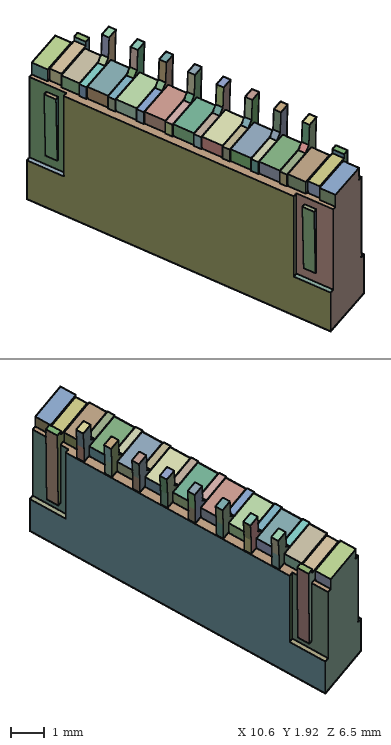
import cadquery as cq

length = 10.6
depth = 1.9
ledge_z = 5.0
housing_top = 5.5
front_step = 0.28
back_step = 0.29

recess_width = 1.28
recess_depth = 0.15
recess_bottom = 1.63

pin_count = 8
pin_row = 7.0
pin_width = 0.25
pin_slot_gap = 0.01
pin_front = 0.24
pin_bend_y = 1.29
pin_bend_z = 5.69
pin_top = 6.5
overall_depth = 1.92
tail_thickness = 0.39
tail_lean = 0.04

clip_x = 4.5
clip_width = 0.41
clip_slot_gap = 0.03
clip_front = 0.34
clip_leg_front = 1.72
clip_top = 5.67
clip_leg_bottom = 2.06
clip_leg_lean = 0.04

tab_top = 4.7
tab_front_top = 0.02
tab_front_bottom = 0.1

pin_pitch = pin_row / (pin_count - 1)
pin_positions = [i * pin_pitch - pin_row / 2 for i in range(pin_count)]
clip_positions = [-clip_x, clip_x]
upper_back = depth - back_step


def box_between(x_range, y_range, z_range):
    """Box spanning the given (low, high) ranges."""
    sizes = [high - low for low, high in (x_range, y_range, z_range)]
    corner = (x_range[0], y_range[0], z_range[0])
    return cq.Workplane("XY").box(*sizes, centered=False).translate(corner)


def plate(outline, width, x_centre):
    """Extrude a (Y, Z) outline along X, centred on x_centre."""
    return cq.Workplane("YZ", origin=(x_centre, 0, 0)).polyline(outline).close().extrude(width / 2, both=True)


def corner_recess(side, y_range):
    """Cutter for a corner recess; side is -1 for the left end and 1 for the right end."""
    inner = side * (length / 2 - recess_width)
    outer = side * length / 2
    return box_between(sorted((inner, outer)), y_range, (recess_bottom, ledge_z))


def slot(x_centre, width):
    """Cutter for a slot running through the upper block from front to back."""
    x_range = (x_centre - width / 2, x_centre + width / 2)
    return box_between(x_range, (front_step, upper_back), (ledge_z, housing_top))


def housing():
    half_length = length / 2
    body = box_between((-half_length, half_length), (0, depth), (0, ledge_z))
    upper = box_between((-half_length, half_length), (front_step, upper_back), (ledge_z, housing_top))
    body = body.union(upper)
    for side in (-1, 1):
        body = body.cut(corner_recess(side, (0, recess_depth)))
        body = body.cut(corner_recess(side, (depth - recess_depth, depth)))
    for x in pin_positions:
        body = body.cut(slot(x, pin_width + 2 * pin_slot_gap))
    for x in clip_positions:
        body = body.cut(slot(x, clip_width + 2 * clip_slot_gap))
    return body


def pin(x):
    """Contact pin: a bar flush with the housing top that bends up into a leaning tail."""
    tail_back = overall_depth - tail_lean
    outline = [
        (pin_front, ledge_z),
        (pin_front, housing_top),
        (pin_bend_y, housing_top),
        (tail_back - tail_thickness, pin_bend_z),
        (overall_depth - tail_thickness, pin_top),
        (overall_depth, pin_top),
        (tail_back, pin_bend_z),
        (tail_back, ledge_z),
    ]
    return plate(outline, pin_width, x)


def clip(x):
    """Retention clip: a bar across the slot with a long leg down the back recess."""
    back_floor = depth - recess_depth
    outline = [
        (clip_front, ledge_z),
        (clip_front, housing_top),
        (clip_leg_front, housing_top),
        (clip_leg_front, clip_top),
        (overall_depth, clip_top),
        (overall_depth - clip_leg_lean, clip_leg_bottom),
        (back_floor, clip_leg_bottom),
        (back_floor, ledge_z),
    ]
    return plate(outline, clip_width, x)


def tab(x):
    """Wedge standing on the floor of the front recess, thickest at its top."""
    outline = [
        (recess_depth, clip_leg_bottom),
        (tab_front_bottom, clip_leg_bottom),
        (tab_front_top, tab_top),
        (recess_depth, tab_top),
    ]
    return plate(outline, clip_width, x)


result = housing()
for x in pin_positions:
    result = result.union(pin(x))
for x in clip_positions:
    result = result.union(clip(x)).union(tab(x))